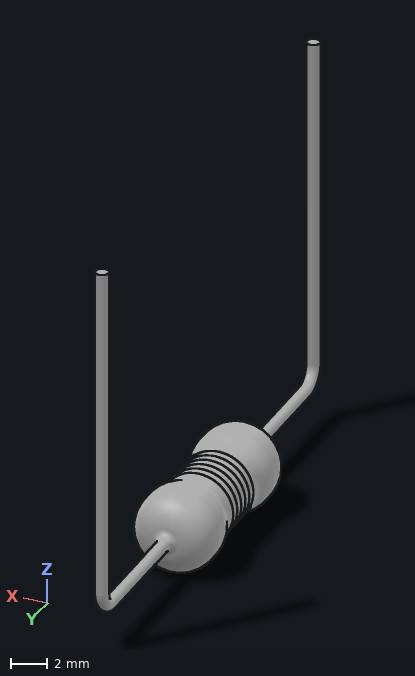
import cadquery as cq
import math

lead_diameter = 0.8
lead_pitch = 30.0
lead_top = 21.1
bend_radius = 1.2

body_length = 12.0
cap_diameter = 5.0
waist_diameter = 4.25
band_diameter = 4.27
cap_rim_outer = 4.2
cap_rim_inner = 3.5
waist_length = 4.0
band_count = 3
collar_fillet = 0.45

lead_radius = lead_diameter / 2
cap_radius = cap_diameter / 2
waist_radius = waist_diameter / 2
body_end = body_length / 2
waist_end = waist_length / 2
stripe_width = waist_length / (2 * band_count + 1)


def half_body():
    """The +Y half of the body without bands, revolved from a radius-versus-Y profile."""
    nose_radius = body_end - cap_rim_outer
    nose_center_radius = cap_radius - nose_radius

    fillet_center_radius = lead_radius + collar_fillet
    offset_radius = fillet_center_radius - nose_center_radius
    center_distance = nose_radius + collar_fillet
    offset_y = math.sqrt(center_distance**2 - offset_radius**2)
    collar_end = cap_rim_outer + offset_y
    touch_point = (
        nose_center_radius + offset_radius * nose_radius / center_distance,
        cap_rim_outer + offset_y * nose_radius / center_distance,
    )

    shoulder_middle = (
        (cap_radius + waist_radius) / 2,
        (cap_rim_inner + waist_end) / 2,
    )

    profile = (
        cq.Workplane("XY")
        .lineTo(waist_radius, 0)
        .lineTo(waist_radius, waist_end)
        .tangentArcPoint(shoulder_middle, relative=False)
        .tangentArcPoint((cap_radius, cap_rim_inner), relative=False)
        .lineTo(cap_radius, cap_rim_outer)
        .tangentArcPoint(touch_point, relative=False)
        .tangentArcPoint((lead_radius, collar_end), relative=False)
        .lineTo(0, collar_end)
        .close()
    )
    return profile.revolve(360, (0, 0, 0), (0, 1, 0))


def band(center_y):
    """One colour band: a disc around the waist, centred at the given Y."""
    return (
        cq.Workplane("XZ", origin=(0, center_y + stripe_width / 2, 0))
        .circle(band_diameter / 2)
        .extrude(stripe_width)
    )


def half_lead():
    """Wire from mid-body along +Y, around the bend and up to its tip."""
    upright_y = lead_pitch / 2
    bend_start_y = upright_y - bend_radius
    path = (
        cq.Workplane("YZ")
        .lineTo(bend_start_y, 0)
        .tangentArcPoint((upright_y, bend_radius), relative=False)
        .lineTo(upright_y, lead_top)
    )
    return cq.Workplane("XZ").circle(lead_radius).sweep(path)


def with_mirror(half):
    """Join a +Y half with its mirror image across the mid-body plane."""
    return half.union(half.mirror("XZ"))


result = with_mirror(half_body()).union(with_mirror(half_lead()))
for index in range(band_count):
    steps_from_middle = index - (band_count - 1) / 2
    result = result.union(band(steps_from_middle * 2 * stripe_width))